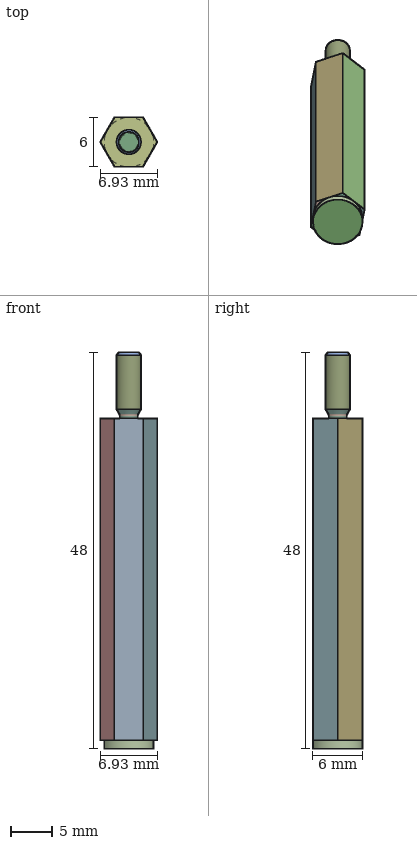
import cadquery as cq
import math

total_length = 48.0
stud_length = 8.0
collar_height = 1.0
hex_length = total_length - stud_length - collar_height

across_flats = 6.0
across_corners = across_flats / math.cos(math.pi / 6)
collar_diameter = across_flats

stud_diameter = 3.0
tip_diameter = 2.45
neck_diameter = 2.2
tip_chamfer_height = 0.35
undercut_height = 1.1
undercut_angle = 30
undercut_radius = 0.5

taper_height = (stud_diameter - neck_diameter) / 2 / math.tan(math.radians(undercut_angle))
neck_height = undercut_height - taper_height
blend_setback = undercut_radius * math.tan(math.radians(undercut_angle / 2))
blend_rise = blend_setback * math.cos(math.radians(undercut_angle))
blend_run = blend_setback * math.sin(math.radians(undercut_angle))


def make_collar():
    return cq.Workplane("XY").circle(collar_diameter / 2).extrude(collar_height)


def make_hex_body():
    """Hexagonal prism with two corners on the X axis."""
    return (
        cq.Workplane("XY")
        .workplane(offset=collar_height)
        .polygon(6, across_corners)
        .extrude(hex_length)
    )


def make_stud():
    """Revolve the half profile of the stud about the Z axis."""
    root_z = collar_height + hex_length
    neck_top_z = root_z + neck_height
    return (
        cq.Workplane("XZ")
        .moveTo(0, root_z)
        .lineTo(neck_diameter / 2, root_z)
        .lineTo(neck_diameter / 2, neck_top_z - blend_setback)
        .tangentArcPoint((neck_diameter / 2 + blend_run, neck_top_z + blend_rise), relative=False)
        .lineTo(stud_diameter / 2, root_z + undercut_height)
        .lineTo(stud_diameter / 2, total_length - tip_chamfer_height)
        .lineTo(tip_diameter / 2, total_length)
        .lineTo(0, total_length)
        .close()
        .revolve(360, (0, 0, 0), (0, 1, 0))
    )


result = make_hex_body().union(make_collar()).union(make_stud())